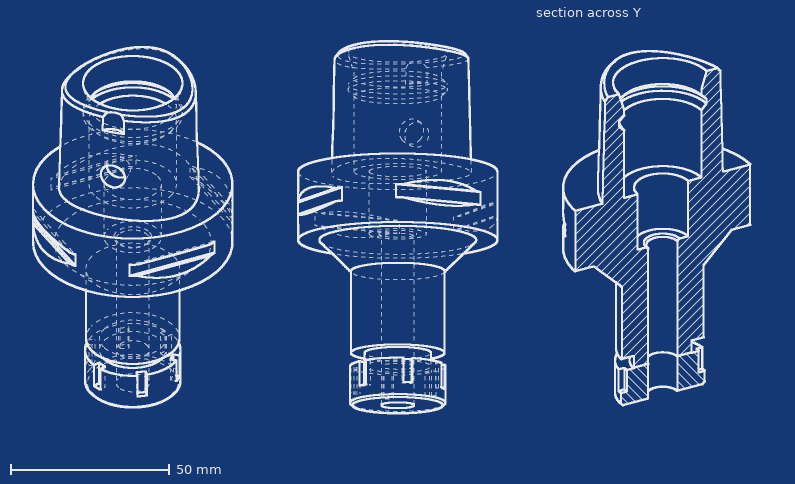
import cadquery as cq
import math

SHANK_TOP = 38.0
FLANGE_BOTTOM = -22.0
BODY_BOTTOM = -58.2
NUT_TOP = -62.5
NUT_BOTTOM = -75.0

SHANK_RADIUS = 22.0
LOBE_OFFSET = 1.5
SHANK_TAPER = 0.025
SHANK_EDGE_HEIGHT = 1.4
SHANK_EDGE_INSET = 1.1
OUTLINE_POINTS = 36

FLANGE_RADIUS = 31.5
BODY_RADIUS = 14.8
CONE_HEIGHT = 10.0
CONE_TOP_RADIUS = BODY_RADIUS + CONE_HEIGHT
CONE_BOTTOM = FLANGE_BOTTOM - CONE_HEIGHT
NECK_RADIUS = 10.5

GRIP_COUNT = 4
GRIP_START_ANGLE = 45.0
GRIP_MID_Z = -11.95
GRIP_FLOOR_DISTANCE = 27.7
GRIP_FLOOR_WIDTH = 4.2
GRIP_WALL_HEIGHT = 1.0
GRIP_MOUTH_WIDTH = 8.0

MOUTH_RADIUS = 15.7
BORE_RADIUS = 13.8
MOUTH_DEPTH = 6.2
LAND_DEPTH = 8.3
GROOVE_RADIUS = 15.7
GROOVE_WALL = 1.6
BORE_FLOOR = 0.0
THREAD_RADIUS = 9.05
THREAD_DEPTH = 20.0
COOLANT_RADIUS = 5.2
COOLANT_CHAMFER = 0.75

NOTCH_RADIUS = 4.6
NOTCH_INNER_Y = -17.85
NOTCH_DEPTH = 6.3
KEY_HOLE_RADIUS = 4.0
KEY_HOLE_Z = 15.35
KEY_HOLE_FLOOR_Y = -14.3

NUT_RADIUS = 15.1
NUT_CHAMFER = 0.8
NUT_SLOT_COUNT = 6
NUT_SLOT_WIDTH = 3.0
NUT_SLOT_DEPTH = 2.1
NUT_SLOT_HEIGHT = 7.8


def revolved(profile):
    """Turn a closed list of (radius, z) points about the Z axis."""
    return cq.Workplane("XZ").polyline(profile).close().revolve(360, (0, 0), (0, 1))


def lobed_outline(z, inset):
    """Closed three-lobed outline at height z, one lobe toward +Y."""
    radius = SHANK_RADIUS - inset
    points = []
    for i in range(OUTLINE_POINTS):
        turn = 2 * math.pi * i / OUTLINE_POINTS
        x = radius * math.sin(turn) - LOBE_OFFSET * math.sin(2 * turn)
        y = radius * math.cos(turn) + LOBE_OFFSET * math.cos(2 * turn)
        points.append(cq.Vector(x, y, z))
    return cq.Wire.assembleEdges([cq.Edge.makeSpline(points, periodic=True)])


def make_shank():
    edge_z = SHANK_TOP - SHANK_EDGE_HEIGHT
    edge_inset = SHANK_TAPER * edge_z
    base = lobed_outline(0, 0)
    edge = lobed_outline(edge_z, edge_inset)
    top = lobed_outline(SHANK_TOP, edge_inset + SHANK_EDGE_INSET)
    taper = cq.Solid.makeLoft([base, edge], True)
    bevel = cq.Solid.makeLoft([edge, top], True)
    return cq.Workplane(taper).union(cq.Workplane(bevel))


def make_turned_body():
    return revolved([
        (0, 0),
        (FLANGE_RADIUS, 0),
        (FLANGE_RADIUS, FLANGE_BOTTOM),
        (CONE_TOP_RADIUS, FLANGE_BOTTOM),
        (BODY_RADIUS, CONE_BOTTOM),
        (BODY_RADIUS, BODY_BOTTOM),
        (NECK_RADIUS, BODY_BOTTOM),
        (NECK_RADIUS, NUT_TOP),
        (0, NUT_TOP),
    ])


def make_bore():
    """Conical mouth, land, retaining groove, bore, thread hole and coolant hole."""
    groove_slope = GROOVE_RADIUS - BORE_RADIUS
    wall_top = SHANK_TOP - LAND_DEPTH - groove_slope
    wall_bottom = wall_top - GROOVE_WALL
    thread_floor = BORE_FLOOR - THREAD_DEPTH
    return revolved([
        (0, SHANK_TOP),
        (MOUTH_RADIUS, SHANK_TOP),
        (BORE_RADIUS, SHANK_TOP - MOUTH_DEPTH),
        (BORE_RADIUS, SHANK_TOP - LAND_DEPTH),
        (GROOVE_RADIUS, wall_top),
        (GROOVE_RADIUS, wall_bottom),
        (BORE_RADIUS, wall_bottom - groove_slope),
        (BORE_RADIUS, BORE_FLOOR),
        (THREAD_RADIUS, BORE_FLOOR),
        (THREAD_RADIUS, thread_floor),
        (COOLANT_RADIUS + COOLANT_CHAMFER, thread_floor),
        (COOLANT_RADIUS, thread_floor - COOLANT_CHAMFER),
        (COOLANT_RADIUS, NUT_TOP),
        (0, NUT_TOP),
    ])


def make_grip_slots():
    """Straight slots that flare toward the rim, spaced evenly round the flange."""
    flare_distance = GRIP_FLOOR_DISTANCE + GRIP_WALL_HEIGHT
    floor_half = GRIP_FLOOR_WIDTH / 2
    mouth_half = GRIP_MOUTH_WIDTH / 2
    section = [
        (GRIP_FLOOR_DISTANCE, GRIP_MID_Z - floor_half),
        (flare_distance, GRIP_MID_Z - floor_half),
        (FLANGE_RADIUS, GRIP_MID_Z - mouth_half),
        (FLANGE_RADIUS, GRIP_MID_Z + mouth_half),
        (flare_distance, GRIP_MID_Z + floor_half),
        (GRIP_FLOOR_DISTANCE, GRIP_MID_Z + floor_half),
    ]
    slot = cq.Workplane("XZ").polyline(section).close().extrude(FLANGE_RADIUS, both=True)
    angles = [GRIP_START_ANGLE + i * 360 / GRIP_COUNT for i in range(GRIP_COUNT)]
    return [slot.rotate((0, 0, 0), (0, 0, 1), angle) for angle in angles]


def make_index_notch():
    return (
        cq.Workplane("XY", origin=(0, NOTCH_INNER_Y - NOTCH_RADIUS, SHANK_TOP))
        .circle(NOTCH_RADIUS)
        .extrude(-NOTCH_DEPTH)
    )


def make_key_hole():
    return (
        cq.Workplane("XZ", origin=(0, KEY_HOLE_FLOOR_Y, KEY_HOLE_Z))
        .circle(KEY_HOLE_RADIUS)
        .extrude(FLANGE_RADIUS)
    )


def make_holder():
    holder = make_turned_body().union(make_shank())
    holder = holder.cut(make_bore()).cut(make_index_notch()).cut(make_key_hole())
    for slot in make_grip_slots():
        holder = holder.cut(slot)
    return holder


def make_nut():
    """Ring under the neck, with spanner slots open to its upper face."""
    nut = (
        cq.Workplane("XY", origin=(0, 0, NUT_BOTTOM))
        .circle(NUT_RADIUS)
        .extrude(NUT_TOP - NUT_BOTTOM)
        .faces("<Z")
        .chamfer(NUT_CHAMFER)
        .faces(">Z")
        .workplane(origin=(0, 0, NUT_TOP))
        .hole(2 * COOLANT_RADIUS)
    )
    slots = (
        cq.Workplane("XY", origin=(0, 0, NUT_TOP))
        .polarArray(NUT_RADIUS, 0, 360, NUT_SLOT_COUNT)
        .rect(2 * NUT_SLOT_DEPTH, NUT_SLOT_WIDTH)
        .extrude(-NUT_SLOT_HEIGHT)
    )
    return nut.cut(slots)


holder = make_holder()
nut = make_nut()
result = cq.Compound.makeCompound([holder.val(), nut.val()])